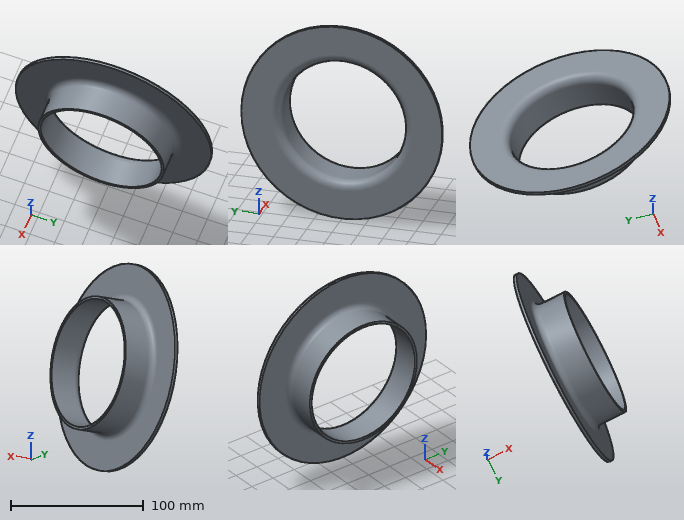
import cadquery as cq

flange_diameter = 158.0
flange_thickness = 2.5
collar_outer_diameter = 101.6
bore_diameter = 97.6
overall_length = 28.0
throat_radius = 7.0
neck_radius = 5.0

flange_radius = flange_diameter / 2
collar_radius = collar_outer_diameter / 2
bore_radius = bore_diameter / 2


def half_section():
    """Half section in XY: X is the part axis, Y the distance from it."""
    return (
        cq.Workplane("XY")
        .moveTo(0, flange_radius)
        .lineTo(0, bore_radius + throat_radius)
        .radiusArc((throat_radius, bore_radius), -throat_radius)
        .lineTo(overall_length, bore_radius)
        .lineTo(overall_length, collar_radius)
        .lineTo(flange_thickness + neck_radius, collar_radius)
        .radiusArc((flange_thickness, collar_radius + neck_radius), neck_radius)
        .lineTo(flange_thickness, flange_radius)
        .close()
    )


result = half_section().revolve(360, (0, 0, 0), (1, 0, 0))